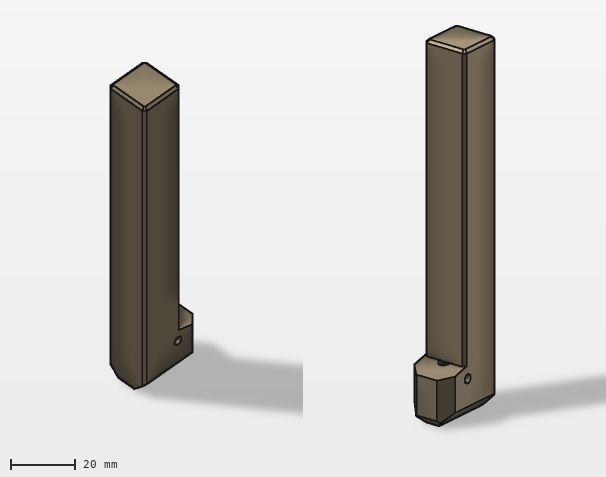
import cadquery as cq
import math

shank_side = 16.0
foot_depth = 25.0
total_height = 125.0

heel_height = 16.6
ledge_slope = 15.0
heel_corner_chamfer = 4.0
bottom_side_chamfer = 5.5
bottom_heel_chamfer = 3.0

edge_chamfer = 1.0

cross_hole_diameter = 3.0
cross_hole_y = 14.6
cross_hole_z = 14.9
bore_diameter = 4.0
bore_y = shank_side

half_width = shank_side / 2
ledge_rise = (foot_depth - shank_side) * math.tan(math.radians(ledge_slope))
ledge_top = heel_height + ledge_rise


def plan_prism(depth, back_chamfer, height):
    """Upright bar with chamfered front and back vertical edges."""
    bar = cq.Workplane("XY").box(shank_side, depth, height, centered=(True, False, False))
    bar = bar.edges("|Z and <Y").chamfer(edge_chamfer)
    return bar.edges("|Z and >Y").chamfer(back_chamfer)


def make_shank():
    shank = plan_prism(shank_side, edge_chamfer, total_height)
    return shank.faces(">Z").chamfer(edge_chamfer)


def make_foot():
    ledge_inner_y = shank_side - edge_chamfer
    ledge_inner_z = ledge_top + edge_chamfer * math.tan(math.radians(ledge_slope))
    side_profile = (
        cq.Workplane("YZ")
        .polyline([
            (0, 0),
            (foot_depth, 0),
            (foot_depth, heel_height),
            (ledge_inner_y, ledge_inner_z),
            (0, ledge_inner_z),
        ])
        .close()
        .extrude(half_width, both=True)
    )
    return plan_prism(foot_depth, heel_corner_chamfer, ledge_inner_z).intersect(side_profile)


def bottom_envelope():
    """Box around the part, bevelled along the sides, front and heel at the bottom."""
    across = (
        cq.Workplane("XZ")
        .polyline([
            (-half_width + bottom_side_chamfer, 0),
            (half_width - bottom_side_chamfer, 0),
            (half_width, bottom_side_chamfer),
            (half_width, total_height),
            (-half_width, total_height),
            (-half_width, bottom_side_chamfer),
        ])
        .close()
        .extrude(-foot_depth)
    )
    along = (
        cq.Workplane("YZ")
        .polyline([
            (edge_chamfer, 0),
            (foot_depth - bottom_heel_chamfer, 0),
            (foot_depth, bottom_heel_chamfer),
            (foot_depth, total_height),
            (0, total_height),
            (0, edge_chamfer),
        ])
        .close()
        .extrude(half_width, both=True)
    )
    return across.intersect(along)


def cross_hole():
    return (
        cq.Workplane("YZ")
        .center(cross_hole_y, cross_hole_z)
        .circle(cross_hole_diameter / 2)
        .extrude(half_width, both=True)
    )


def vertical_bore():
    """Bore through the foot, ending level with the top of the ledge."""
    return cq.Workplane("XY").center(0, bore_y).circle(bore_diameter / 2).extrude(ledge_top)


body = make_shank().union(make_foot()).intersect(bottom_envelope())
result = body.cut(cross_hole()).cut(vertical_bore())